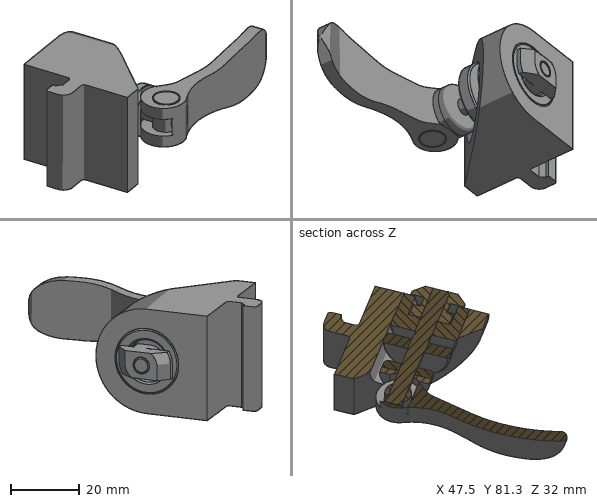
import cadquery as cq
import math


HOUSING_LENGTH = 36.0
HOUSING_HEIGHT = 32.0
HALF_HEIGHT = HOUSING_HEIGHT / 2
SLOPE_START_X = 6.1
SLOPE_RUN = HOUSING_LENGTH - SLOPE_START_X
FRONT_LEDGE_Y = -19.0
REAR_LEDGE_Y = -20.0
HOOK_BOTTOM_Y = -29.0
HOOK_NECK_LEFT = 16.0
HOOK_NECK_RIGHT = 20.8
HOOK_TIP_X = 13.5
HOOK_LIP_Y = -24.95
HOOK_LIP_CHAMFER = 1.5
SMALL_FILLET = 1.0
HOOK_HEEL_FILLET = 3.0

SLEEVE_DIAMETER = 20.0
RING_DIAMETER = 20.4
RING_WIDTH = 4.15
RING_CHAMFER = 0.5
SLEEVE_LENGTH = 13.0
SHOULDER_X = SLEEVE_LENGTH - RING_WIDTH
SLEEVE_BORE_DIAMETER = 12.9
SLEEVE_BORE_MOUTH = 14.0
SLEEVE_BORE_DEPTH = 7.3
RING_X = 15.9

NUT_FACE_X = -4.5
NUT_BACK_X = -0.2
NUT_HALF_THICKNESS = 4.1
NUT_REACH = 8.1
NUT_BEVEL_DEPTH = 2.9
NUT_BEVEL_REACH = 3.1
NUT_COLLAR_DIAMETER = 12.4
NUT_COLLAR_X = 3.25

SHAFT_DIAMETER = 5.0
SHAFT_TIP_DIAMETER = 4.15
SHAFT_CHAMFER = (SHAFT_DIAMETER - SHAFT_TIP_DIAMETER) / 2
SHAFT_END_X = 41.55

WASHER_DIAMETER = 15.4
WASHER_X = 25.9
WASHER_FILLET = 1.5
SEAT_X = 29.1
SEAT_END_X = 31.1

HUB_RADIUS = 6.75
HUB_X = 36.3
HUB_HEIGHT = 13.0
BARREL_X = 37.15
BARREL_DIAMETER = 8.0
BARREL_HOLE_DIAMETER = 8.1
BARREL_CHAMFER = 0.25
SLOT_WIDTH = 5.6
SLOT_CLEARANCE = 4.5
BLADE_BACK_X = 43.0
BLADE_THICKNESS = 4.0
BLADE_INNER_RADIUS = 55.0
BLADE_CENTRE_Y = 33.3
BLADE_END_Y = 52.3
BLADE_WIDTH = 18.0
NECK_END_Y = 18.05


def disc(diameter, start_x, end_x):
    """Solid cylinder on the clamp axis."""
    return cq.Workplane("YZ").workplane(offset=start_x).circle(diameter / 2).extrude(end_x - start_x)


def slab(x_range, y_range, z_range):
    """Box between pairs of limits."""
    sizes = [high - low for low, high in (x_range, y_range, z_range)]
    corner = (x_range[0], y_range[0], z_range[0])
    return cq.Workplane("XY").box(*sizes, centered=False).translate(corner)


def shaft_hole():
    return disc(SHAFT_DIAMETER, NUT_FACE_X, SHAFT_END_X)


def make_housing():
    outline = [
        (0, HALF_HEIGHT),
        (SLOPE_START_X, HALF_HEIGHT),
        (HOUSING_LENGTH, HALF_HEIGHT - SLOPE_RUN),
        (HOUSING_LENGTH, REAR_LEDGE_Y),
        (HOOK_NECK_RIGHT, REAR_LEDGE_Y),
        (HOOK_NECK_RIGHT, HOOK_BOTTOM_Y),
        (HOOK_TIP_X, HOOK_BOTTOM_Y),
        (HOOK_TIP_X, HOOK_LIP_Y),
        (HOOK_NECK_LEFT - HOOK_LIP_CHAMFER, HOOK_LIP_Y),
        (HOOK_NECK_LEFT, HOOK_LIP_Y + HOOK_LIP_CHAMFER),
        (HOOK_NECK_LEFT, FRONT_LEDGE_Y),
        (0, FRONT_LEDGE_Y),
    ]
    body = cq.Workplane("XY").polyline(outline).close().extrude(HALF_HEIGHT, both=True)
    rounded_corners = [
        (HOOK_NECK_LEFT, FRONT_LEDGE_Y, SMALL_FILLET),
        (HOOK_NECK_RIGHT, REAR_LEDGE_Y, SMALL_FILLET),
        (HOOK_TIP_X, HOOK_BOTTOM_Y, SMALL_FILLET),
        (HOOK_NECK_RIGHT, HOOK_BOTTOM_Y, HOOK_HEEL_FILLET),
    ]
    for x, y, radius in rounded_corners:
        body = body.edges(cq.NearestToPointSelector((x, y, 0))).fillet(radius)

    round_end = disc(HOUSING_HEIGHT, 0, HOUSING_LENGTH)
    straight_part = slab((0, HOUSING_LENGTH), (HOOK_BOTTOM_Y, 0), (-HALF_HEIGHT, HALF_HEIGHT))
    body = body.intersect(round_end.union(straight_part))

    body = body.cut(disc(SLEEVE_DIAMETER, 0, SHOULDER_X))
    return body.cut(disc(RING_DIAMETER, SHOULDER_X, HOUSING_LENGTH))


def make_sleeve():
    barrel = disc(SLEEVE_DIAMETER, 0, SHOULDER_X).faces("<X").edges().chamfer(RING_CHAMFER)
    flange = disc(RING_DIAMETER, SHOULDER_X, SLEEVE_LENGTH).faces(">X").edges().chamfer(RING_CHAMFER)
    mouth_chamfer = (SLEEVE_BORE_MOUTH - SLEEVE_BORE_DIAMETER) / 2
    sleeve = barrel.union(flange).cut(disc(SLEEVE_BORE_DIAMETER, 0, SLEEVE_BORE_DEPTH))
    mouth = cq.Workplane("YZ").circle(SLEEVE_BORE_MOUTH / 2)
    mouth = mouth.workplane(offset=mouth_chamfer).circle(SLEEVE_BORE_DIAMETER / 2).loft()
    return sleeve.cut(mouth).cut(shaft_hole())


def make_ring():
    ring = disc(RING_DIAMETER, RING_X, RING_X + RING_WIDTH)
    return ring.edges().chamfer(RING_CHAMFER).cut(shaft_hole())


def twist_block(round_part, square_part):
    """Round block whose (+Y, +Z) and (-Y, -Z) quadrants are square, trimmed to the nut thickness."""
    x_range = (NUT_FACE_X, NUT_COLLAR_X)
    block = round_part.intersect(
        slab(x_range, (-NUT_REACH, NUT_REACH), (-NUT_HALF_THICKNESS, NUT_HALF_THICKNESS))
    )
    upper = slab(x_range, (0, NUT_REACH), (0, NUT_HALF_THICKNESS))
    lower = slab(x_range, (-NUT_REACH, 0), (-NUT_HALF_THICKNESS, 0))
    return block.union(square_part.intersect(upper)).union(square_part.intersect(lower))


def make_nut():
    half_section = [
        (NUT_FACE_X, 0),
        (NUT_FACE_X, NUT_REACH - NUT_BEVEL_REACH),
        (NUT_FACE_X + NUT_BEVEL_DEPTH, NUT_REACH),
        (NUT_BACK_X, NUT_REACH),
        (NUT_BACK_X, 0),
    ]
    round_wing = cq.Workplane("XY").polyline(half_section).close().revolve(360, (0, 0, 0), (1, 0, 0))
    half_wing = cq.Workplane("XY").polyline(half_section).close().extrude(NUT_HALF_THICKNESS, both=True)
    wing = twist_block(round_wing, half_wing.union(half_wing.mirror("XZ")))

    width = (-NUT_HALF_THICKNESS, NUT_HALF_THICKNESS)
    round_shank = disc(2 * NUT_HALF_THICKNESS, NUT_BACK_X, NUT_COLLAR_X)
    shank = twist_block(round_shank, slab((NUT_BACK_X, NUT_COLLAR_X), width, width))
    collar = disc(NUT_COLLAR_DIAMETER, NUT_COLLAR_X, SLEEVE_BORE_DEPTH)
    return wing.union(shank).union(collar).cut(shaft_hole())


def make_shaft():
    return disc(SHAFT_DIAMETER, NUT_FACE_X, SHAFT_END_X).edges().chamfer(SHAFT_CHAMFER)


def make_washer():
    washer = disc(WASHER_DIAMETER, WASHER_X, SEAT_X)
    return washer.faces("<X").edges().fillet(WASHER_FILLET).cut(shaft_hole())


def make_cam_seat():
    cradle = cq.Workplane("XY").center(HUB_X, 0).circle(HUB_RADIUS).extrude(WASHER_DIAMETER / 2, both=True)
    return disc(WASHER_DIAMETER, SEAT_X, SEAT_END_X).cut(cradle).cut(shaft_hole())


def make_barrel():
    barrel = cq.Workplane("XY").center(BARREL_X, 0).circle(BARREL_DIAMETER / 2)
    barrel = barrel.extrude(HUB_HEIGHT / 2, both=True)
    return barrel.faces("<Z or >Z").edges().chamfer(BARREL_CHAMFER).cut(shaft_hole())


def blade_plan():
    """Curved blade and neck in the XY plane, without the hub."""
    outer_radius = BLADE_INNER_RADIUS + BLADE_THICKNESS
    middle_radius = BLADE_INNER_RADIUS + BLADE_THICKNESS / 2
    centre_x = BLADE_BACK_X - outer_radius
    tip_radius = BLADE_THICKNESS / 2
    tip_angle = math.asin((BLADE_END_Y - tip_radius - BLADE_CENTRE_Y) / middle_radius)

    def on_arc(radius, angle):
        return (centre_x + radius * math.cos(angle), BLADE_CENTRE_Y + radius * math.sin(angle))

    def on_arc_at_y(radius, y):
        return on_arc(radius, math.asin((y - BLADE_CENTRE_Y) / radius))

    tip_centre = on_arc(middle_radius, tip_angle)
    tip_point = (
        tip_centre[0] - tip_radius * math.sin(tip_angle),
        tip_centre[1] + tip_radius * math.cos(tip_angle),
    )
    inner_arc_end_y = 26.5
    inner_knee = (37.9, 22.5)
    back_hub = (42.35, 2.85)
    back_waist = (40.25, 11.4)
    front_hub = (31.4, 4.6)
    front_bend = [(33.25, 6.75), (34.4, 8.4), (35.1, 10.3)]
    return (
        cq.Workplane("XY")
        .moveTo(HUB_X, 0)
        .lineTo(*back_hub)
        .threePointArc(back_waist, on_arc_at_y(outer_radius, NECK_END_Y))
        .threePointArc(on_arc(outer_radius, 0), on_arc(outer_radius, tip_angle))
        .threePointArc(tip_point, on_arc(BLADE_INNER_RADIUS, tip_angle))
        .threePointArc(on_arc(BLADE_INNER_RADIUS, 0), on_arc_at_y(BLADE_INNER_RADIUS, inner_arc_end_y))
        .lineTo(*inner_knee)
        .lineTo(*front_bend[2])
        .threePointArc(front_bend[1], front_bend[0])
        .lineTo(*front_hub)
        .close()
    )


def blade_width_outline():
    """Half of the lever's paddle outline in the YZ plane, Z >= 0."""
    half_width = BLADE_WIDTH / 2
    inflection = (24.95, 7.5)
    wide_start = (34.8, half_width)
    wide_end = (39.9, half_width)
    shoulder = (43.3, 8.8)
    tip_corner = (48.7, 6.9)
    tip_middle = (51.0, 4.4)
    return (
        cq.Workplane("YZ")
        .moveTo(-HUB_RADIUS, 0)
        .lineTo(-HUB_RADIUS, HUB_HEIGHT / 2)
        .lineTo(NECK_END_Y, HUB_HEIGHT / 2)
        .tangentArcPoint(inflection, relative=False)
        .tangentArcPoint(wide_start, relative=False)
        .lineTo(*wide_end)
        .tangentArcPoint(shoulder, relative=False)
        .tangentArcPoint(tip_corner, relative=False)
        .threePointArc(tip_middle, (BLADE_END_Y, 0))
        .close()
    )


def make_lever():
    hub = cq.Workplane("XY").center(HUB_X, 0).circle(HUB_RADIUS).extrude(BLADE_WIDTH / 2, both=True)
    blank = hub.union(blade_plan().extrude(BLADE_WIDTH / 2, both=True))
    half_paddle = blade_width_outline().extrude(2 * BLADE_BACK_X)
    lever = blank.intersect(half_paddle.union(half_paddle.mirror("XY")))

    lever = lever.cut(
        cq.Workplane("XY").center(BARREL_X, 0).circle(BARREL_HOLE_DIAMETER / 2)
        .extrude(HUB_HEIGHT / 2, both=True)
    )
    slot = slab(
        (HUB_X - HUB_RADIUS, BARREL_X + SLOT_CLEARANCE),
        (-HUB_RADIUS, SLOT_CLEARANCE),
        (-SLOT_WIDTH / 2, SLOT_WIDTH / 2),
    )
    return lever.cut(slot)


housing = make_housing()
sleeve = make_sleeve()
ring = make_ring()
nut = make_nut()
shaft = make_shaft()
washer = make_washer()
cam_seat = make_cam_seat()
barrel = make_barrel()
lever = make_lever()

bodies = [housing, sleeve, ring, nut, shaft, washer, cam_seat, barrel, lever]
result = cq.Compound.makeCompound([body.solids().val() for body in bodies])